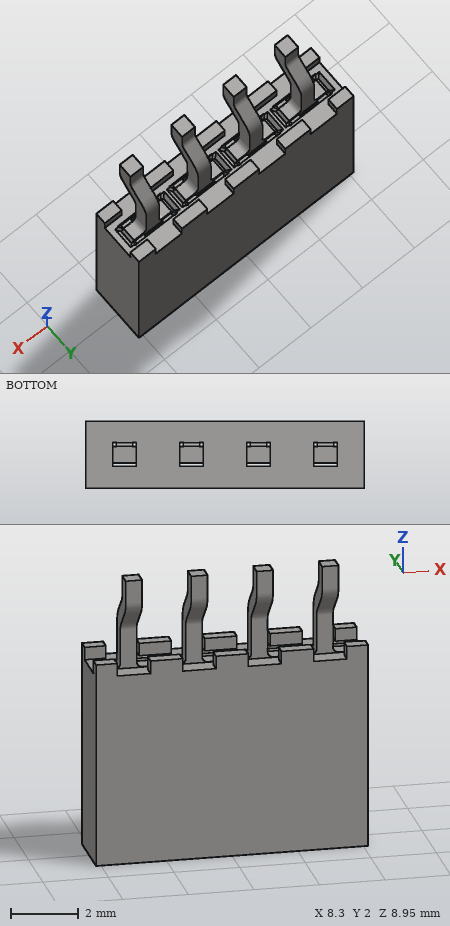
import cadquery as cq
import math

BODY_LENGTH = 8.3
BODY_WIDTH = 2.0
BODY_HEIGHT = 6.36
OVERALL_HEIGHT = 8.95

CONTACT_COUNT = 4
PITCH = 2.0

DECK_DEPTH = 0.39
CHANNEL_WIDTH = 1.2
NOTCH_WIDTH = 1.01

SEAT_DEPTH = 0.125
FUNNEL_LENGTH = 1.9
FUNNEL_WIDTH = 0.73
SLOT_LENGTH = 1.65
SLOT_WIDTH = 0.79
HOLE_SIZE = 0.7
HOLE_FORWARD_SHIFT = 0.013

PIN_SIZE = 0.5
TIGHT_BEND_RADIUS = 0.3
TIP_OUTER_RADIUS = 0.5
FRONT_BEND_HEIGHT = 7.28

PLATE_DROP = 0.04
PLATE_THICKNESS = 0.2
PLATE_LENGTH = 1.45
WING_RUN = 0.21
FOOT_FILLET = 0.16

deck_z = BODY_HEIGHT - DECK_DEPTH
plate_top_z = deck_z - PLATE_DROP
plate_bottom_z = plate_top_z - PLATE_THICKNESS
contact_xs = [(i - (CONTACT_COUNT - 1) / 2) * PITCH for i in range(CONTACT_COUNT)]


def box_above(length, width, height, x, z):
    """Box centred on (x, 0) whose underside is at z."""
    return cq.Workplane("XY").box(length, width, height, centered=(True, True, False)).translate((x, 0, z))


def seat_cutter(x):
    """Funnel with four 45 degree walls, a slot with 45 degree ends, and a square through hole."""
    slope_run = 2 * SEAT_DEPTH
    funnel = (
        cq.Workplane("XY", origin=(x, 0, deck_z))
        .rect(FUNNEL_LENGTH, FUNNEL_WIDTH)
        .workplane(offset=-SEAT_DEPTH)
        .rect(FUNNEL_LENGTH - slope_run, FUNNEL_WIDTH - slope_run)
        .loft(ruled=True)
    )
    slot = (
        cq.Workplane("XY", origin=(x, 0, deck_z))
        .rect(SLOT_LENGTH, SLOT_WIDTH)
        .workplane(offset=-SEAT_DEPTH)
        .rect(SLOT_LENGTH - slope_run, SLOT_WIDTH)
        .loft(ruled=True)
    )
    hole = box_above(HOLE_SIZE, HOLE_SIZE, deck_z, x, 0).translate((0, -HOLE_FORWARD_SHIFT, 0))
    return funnel.union(slot).union(hole)


def make_housing():
    housing = box_above(BODY_LENGTH, BODY_WIDTH, BODY_HEIGHT, 0, 0)
    housing = housing.cut(box_above(BODY_LENGTH, CHANNEL_WIDTH, DECK_DEPTH, 0, deck_z))
    for x in contact_xs:
        housing = housing.cut(box_above(NOTCH_WIDTH, BODY_WIDTH, DECK_DEPTH, x, deck_z))
        housing = housing.cut(seat_cutter(x))
    return housing


def make_pin():
    """Pin with a 45 degree jog that brings its tip flush with the front of the housing."""
    foot_front_y = -PIN_SIZE / 2
    foot_back_y = PIN_SIZE / 2
    tip_front_y = -BODY_WIDTH / 2
    tip_back_y = tip_front_y + PIN_SIZE
    jog = foot_front_y - tip_front_y
    mitre_rise = PIN_SIZE * math.tan(math.radians(45 / 2))
    back_bend_z = FRONT_BEND_HEIGHT + mitre_rise

    pin = (
        cq.Workplane("YZ")
        .polyline(
            [
                (foot_front_y, plate_bottom_z),
                (foot_front_y, FRONT_BEND_HEIGHT),
                (tip_front_y, FRONT_BEND_HEIGHT + jog),
                (tip_front_y, OVERALL_HEIGHT),
                (tip_back_y, OVERALL_HEIGHT),
                (tip_back_y, back_bend_z + jog),
                (foot_back_y, back_bend_z),
                (foot_back_y, plate_bottom_z),
            ]
        )
        .close()
        .extrude(PIN_SIZE / 2, both=True)
    )

    bends = [
        (foot_front_y, FRONT_BEND_HEIGHT, TIGHT_BEND_RADIUS),
        (foot_back_y, back_bend_z, TIGHT_BEND_RADIUS + PIN_SIZE),
        (tip_front_y, FRONT_BEND_HEIGHT + jog, TIP_OUTER_RADIUS),
        (tip_back_y, back_bend_z + jog, TIGHT_BEND_RADIUS),
    ]
    for y, z, radius in bends:
        pin = pin.edges(cq.NearestToPointSelector((0, y, z))).fillet(radius)
    return pin


def make_plate():
    """Plate with sloping wings, flared into the pin on both sides."""
    half_top = PLATE_LENGTH / 2
    half_bottom = half_top + WING_RUN
    half_pin = PIN_SIZE / 2
    half_flare = half_pin + FOOT_FILLET
    flare_top_z = plate_top_z + FOOT_FILLET
    arc_offset = FOOT_FILLET * (1 - math.sqrt(0.5))
    return (
        cq.Workplane("XZ")
        .moveTo(-half_bottom, plate_bottom_z)
        .lineTo(-half_top, plate_top_z)
        .lineTo(-half_flare, plate_top_z)
        .threePointArc((-half_pin - arc_offset, plate_top_z + arc_offset), (-half_pin, flare_top_z))
        .lineTo(half_pin, flare_top_z)
        .threePointArc((half_pin + arc_offset, plate_top_z + arc_offset), (half_flare, plate_top_z))
        .lineTo(half_top, plate_top_z)
        .lineTo(half_bottom, plate_bottom_z)
        .close()
        .extrude(PIN_SIZE / 2, both=True)
    )


contact = make_pin().union(make_plate())
result = make_housing()
for contact_x in contact_xs:
    result = result.union(contact.translate((contact_x, 0, 0)))